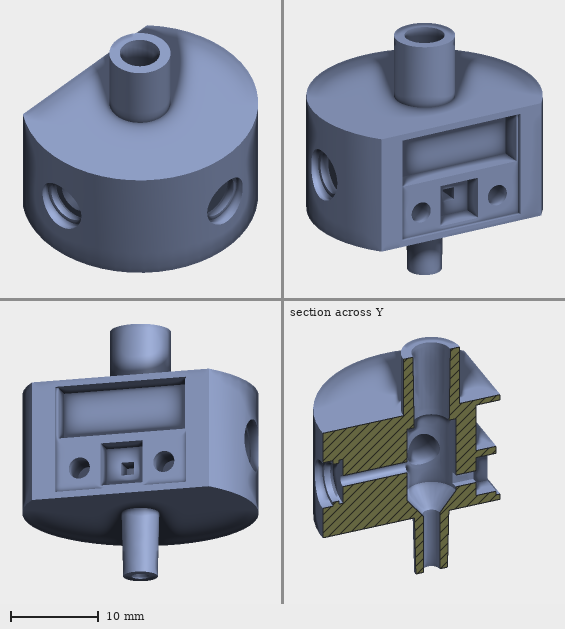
import cadquery as cq

body_diameter = 27.0
body_radius = body_diameter / 2
body_height = 13.98
flat_offset = 8.5
mid_height = body_height / 2

stub_length = 7.5
tube_diameter = 7.0
spigot_root_diameter = 4.32
spigot_tip_diameter = 3.97

socket_diameter = 4.58
socket_end_diameter = 4.3
chamber_diameter = 6.0
outlet_diameter = 2.0
chamber_bottom = 2.5
chamber_top = 12.0
cone_height = 2.5

port_mouth_diameter = 6.0
port_mouth_end = 12.25
port_lip_diameter = 5.0
port_lip_end = 11.48
port_groove_diameter = 5.8
port_groove_end = 11.0
wide_bore_diameter = 4.0
narrow_bore_diameter = 1.4

panel_width = 15.5
panel_height = 12.47
panel_bottom = (body_height - panel_height) / 2
panel_depth = 0.5
panel_floor = -flat_offset + panel_depth

pocket_depth = 2.5
display_width = 15.0
display_height = 6.0
display_center = panel_bottom + panel_height - display_height / 2
sensor_side = 5.0
sensor_center = 3.75
window_side = 1.5
screw_diameter = 2.5
screw_spacing = 10.0
screw_center = 3.5
screw_depth = 4.0


def vertical_taper(bottom_z, height, bottom_diameter, top_diameter):
    """Cone frustum standing on the Z axis."""
    base = cq.Vector(0, 0, bottom_z)
    return cq.Workplane(cq.Solid.makeCone(bottom_diameter / 2, top_diameter / 2, height, base))


def vertical_cylinder(bottom_z, height, diameter):
    return cq.Workplane().workplane(offset=bottom_z).circle(diameter / 2).extrude(height)


def body():
    drum = vertical_cylinder(0, body_height, body_diameter)
    beyond_flat = cq.Workplane().box(body_diameter, body_diameter, body_height, centered=(True, True, False))
    drum = drum.cut(beyond_flat.translate((-flat_offset - body_radius, 0, 0)))
    tube = vertical_cylinder(body_height, stub_length, tube_diameter)
    spigot = vertical_taper(-stub_length, stub_length, spigot_tip_diameter, spigot_root_diameter)
    return drum.union(tube).union(spigot)


def vertical_passage():
    socket_depth = body_height + stub_length - chamber_top
    socket = vertical_taper(chamber_top, socket_depth, socket_end_diameter, socket_diameter)
    chamber = vertical_cylinder(chamber_bottom, chamber_top - chamber_bottom, chamber_diameter)
    cone = vertical_taper(chamber_bottom - cone_height, cone_height, outlet_diameter, chamber_diameter)
    outlet = vertical_cylinder(-stub_length, stub_length + chamber_bottom, outlet_diameter)
    return socket.union(chamber).union(cone).union(outlet)


def port(angle, bore_diameter):
    """Grooved port from the body axis outward, turned by angle from the +X direction."""
    axis_plane = cq.Workplane("YZ", origin=(0, 0, mid_height))
    cutter = axis_plane.circle(bore_diameter / 2).extrude(body_radius)
    for diameter, inner_end, outer_end in (
        (port_groove_diameter, port_groove_end, port_lip_end),
        (port_lip_diameter, port_lip_end, port_mouth_end),
        (port_mouth_diameter, port_mouth_end, body_radius),
    ):
        step = axis_plane.workplane(offset=inner_end).circle(diameter / 2).extrude(outer_end - inner_end)
        cutter = cutter.union(step)
    return cutter.rotate((0, 0, 0), (0, 0, 1), angle)


def flat_pocket(start_x, depth, width, height, center_z):
    """Rectangular pocket running in +X from start_x."""
    block = cq.Workplane().box(depth, width, height, centered=(False, True, True))
    return block.translate((start_x, 0, center_z))


result = body().cut(vertical_passage())

for port_angle, port_bore in (
    (-90, wide_bore_diameter),
    (0, narrow_bore_diameter),
    (90, narrow_bore_diameter),
):
    result = result.cut(port(port_angle, port_bore))

result = result.cut(flat_pocket(-flat_offset, panel_depth, panel_width, panel_height, mid_height))
result = result.cut(flat_pocket(panel_floor, pocket_depth, display_width, display_height, display_center))
result = result.cut(flat_pocket(panel_floor, pocket_depth, sensor_side, sensor_side, sensor_center))
result = result.cut(flat_pocket(panel_floor, -panel_floor, window_side, window_side, sensor_center))

screw_holes = (
    cq.Workplane("YZ", origin=(panel_floor, 0, screw_center))
    .pushPoints([(-screw_spacing / 2, 0), (screw_spacing / 2, 0)])
    .circle(screw_diameter / 2)
    .extrude(screw_depth)
)
result = result.cut(screw_holes)